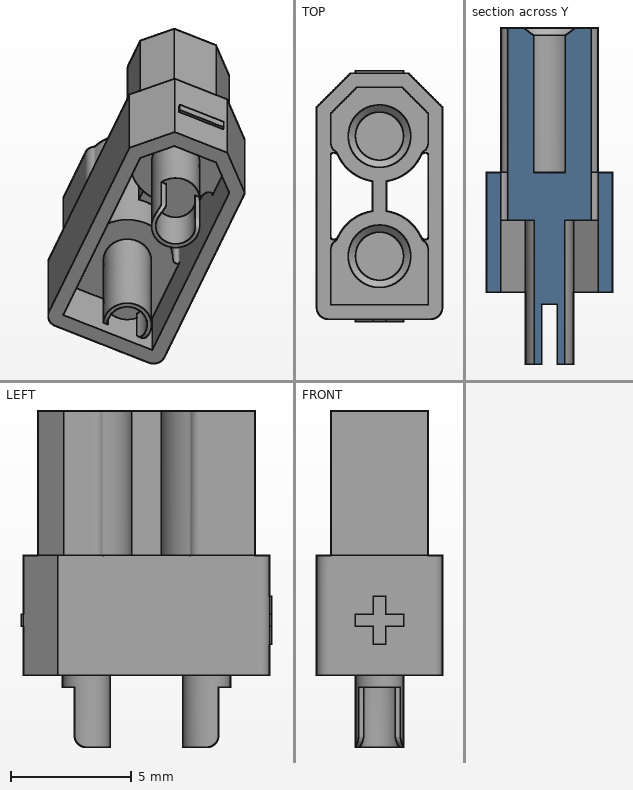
import cadquery as cq
import math

base_width = 5.25
base_length = 10.25
base_height = 5.0
base_corner_radius = 0.5
base_chamfer = 1.43
wall = 0.6
roof_thickness = 2.0

tower_height = 6.0
tower_width = base_width - 2 * wall
tower_length = base_length - 2 * wall
tower_chamfer = base_chamfer - wall * (2 - math.sqrt(2))
tower_inner_radius = 0.4
tower_top = base_height + tower_height

contact_pitch = 5.0
contact_y = contact_pitch / 2
contact_diameter = 2.0
socket_diameter = contact_diameter
socket_mouth_diameter = 2.6
socket_depth = tower_height
mouth_depth = (socket_mouth_diameter - socket_diameter) / 2
post_diameter = socket_mouth_diameter + 2 * wall
rib_thickness = wall

window_length = 3.6
window_corner_radius = 0.1
post_corner_radius = 0.2

cup_length = 3.0
cup_diameter = contact_diameter
cup_bore_diameter = 1.65
collar_length = 0.5
cup_cut_offset = 0.5
cup_tip_radius = 0.5

mark_length = 2.0
mark_stroke = 0.5
mark_relief = 0.1
mark_z = 2.3


def end_chamfered_block(width, length, height, chamfer):
    """Upright block standing on Z = 0 whose two +Y corners are cut at 45 degrees."""
    block = cq.Workplane("XY").box(width, length, height, centered=(True, True, False))
    return block.edges("|Z and >Y").chamfer(chamfer)


def at_contacts(radius, height):
    """One upright cylinder standing on Z = 0 on each contact axis."""
    return cq.Workplane("XY").pushPoints([(0, contact_y), (0, -contact_y)]).circle(radius).extrude(height)


def round_post_corners(body):
    """Round the upright edges that lie close to where the posts meet the ends of the window."""
    step = window_length / 2 - contact_y
    corner_x = math.sqrt((post_diameter / 2) ** 2 - step**2)
    for x in (-corner_x, corner_x):
        for y in (-window_length / 2, window_length / 2):
            near = cq.selectors.NearestToPointSelector((x, y, tower_height / 2))
            body = body.edges("|Z").edges(near).fillet(post_corner_radius)
    return body


def make_base():
    block = end_chamfered_block(base_width, base_length, base_height, base_chamfer)
    block = block.edges("|Z and <Y").fillet(base_corner_radius)
    cavity = end_chamfered_block(tower_width, tower_length, base_height - roof_thickness, tower_chamfer)
    return block.cut(cavity)


def make_window():
    """Opening through the roof, bounded at each end by the round posts."""
    window = cq.Workplane("XY").rect(tower_width, window_length).extrude(base_height)
    window = window.cut(at_contacts(post_diameter / 2, base_height))
    window = window.edges("|Z and (<X or >X)").fillet(window_corner_radius)
    return round_post_corners(window)


def make_tower():
    """Two rounded housings with posts, joined by a thin rib."""
    gap = cq.Workplane("XY").rect(base_width, window_length).extrude(tower_height)
    tower = end_chamfered_block(tower_width, tower_length, tower_height, tower_chamfer).cut(gap)
    around_gap = cq.selectors.BoxSelector((-base_width, -contact_y, 0), (base_width, contact_y, tower_height))
    tower = tower.edges("|Z").edges(around_gap).fillet(tower_inner_radius)
    tower = tower.union(at_contacts(post_diameter / 2, tower_height))
    tower = round_post_corners(tower)
    rib = cq.Workplane("XY").rect(rib_thickness, contact_pitch).extrude(tower_height)
    return tower.union(rib).translate((0, 0, base_height))


def make_socket():
    """Blind socket with a conical mouth, on the Z axis."""
    top_plane = cq.Workplane("XY").workplane(offset=tower_top)
    bore = top_plane.circle(socket_diameter / 2).extrude(-socket_depth)
    mouth_base = cq.Vector(0, 0, tower_top - mouth_depth)
    mouth = cq.Solid.makeCone(socket_diameter / 2, socket_mouth_diameter / 2, mouth_depth, mouth_base)
    return bore.union(cq.Workplane(obj=mouth))


def make_solder_cup():
    """Cup on the Z axis, open towards +Y below its collar."""
    cup = cq.Workplane("XY").circle(cup_diameter / 2).extrude(-cup_length)
    opening = (
        cq.Workplane("XY")
        .box(cup_diameter, cup_diameter, cup_length, centered=(True, False, False))
        .translate((0, cup_cut_offset, -collar_length - cup_length))
    )
    cup = cup.cut(opening)
    cup = cup.faces("<Z").edges(">Y").fillet(cup_tip_radius)
    tip_plane = cq.Workplane("XY").workplane(offset=-cup_length)
    bore = tip_plane.circle(cup_bore_diameter / 2).extrude(cup_length - collar_length)
    return cup.cut(bore)


def make_stems():
    """Solid contact stems that carry the solder cups from the roof down through the cavity."""
    return at_contacts(contact_diameter / 2, base_height)


def make_bar(width, height, side):
    """Raised rectangle, rooted in the wall, on the -Y (side = -1) or +Y (side = 1) face."""
    depth = wall / 2 + mark_relief
    middle_y = side * (base_length / 2 + mark_relief - depth / 2)
    return cq.Workplane("XY").box(width, depth, height).translate((0, middle_y, mark_z))


def make_marks():
    """Plus sign on the -Y face and minus sign on the +Y face."""
    plus = make_bar(mark_length, mark_stroke, -1).union(make_bar(mark_stroke, mark_length, -1))
    minus = make_bar(mark_length, mark_stroke, 1)
    return plus.union(minus)


marked_base = make_base().union(make_marks())
result = marked_base.cut(make_window()).union(make_tower()).union(make_stems())
for turn in (0, 180):
    axis = ((0, 0, 0), (0, 0, 1), turn)
    result = result.cut(make_socket().translate((0, contact_y, 0)).rotate(*axis))
    result = result.union(make_solder_cup().translate((0, contact_y, 0)).rotate(*axis))